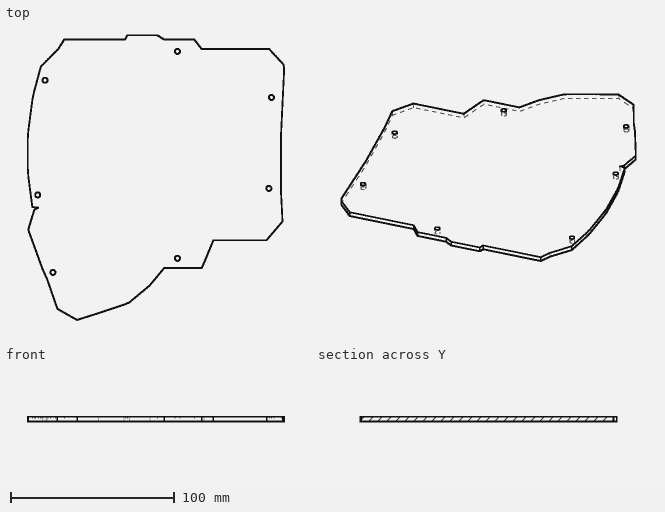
import cadquery as cq
import math

width = 156.62
height = 173.92
thickness = 3.0

row_length = 18.8
bridge_length = 4.6
row_angle = 7.5
top_row_length = 16.5
middle_row_bottom = 92.2

main_top = 171.3
right_top = 165.5
right_bottom = 48.7
main_bottom = 31.7

block_left = 83.3
block_right = 106.2

tab_left = 60.8
tab_right = 79.1
tab_left_foot = 59.4

waist_x = 154.7
waist_bottom = 78.0
waist_top = 113.2

hole_diameter = 3.0
block_hole_x = 91.4
hole_positions = [
    (block_hole_x, 164.0),
    (block_hole_x, 37.7),
    (10.6, 146.4),
    (148.8, 135.9),
    (147.2, 80.4),
    (6.1, 76.4),
    (15.4, 29.1),
]


def step(point, length, lean):
    """Point reached by moving a length away from point, leaning from +Y toward +X."""
    angle = math.radians(lean)
    return (point[0] + length * math.sin(angle), point[1] + length * math.cos(angle))


def fanned_side():
    """Corners of the fanned left side, from the notch above the thumb lobe up to the top left."""
    middle_bottom = (0, middle_row_bottom)
    bridge_bottom = step(middle_bottom, -bridge_length, -row_angle / 2)
    points = [step(bridge_bottom, -row_length, -row_angle), bridge_bottom, middle_bottom]
    for row, length in enumerate([row_length, row_length, top_row_length]):
        lean = row * row_angle
        if row > 0:
            points.append(step(points[-1], bridge_length, lean - row_angle / 2))
        points.append(step(points[-1], length, lean))
    return points


def top_side():
    """Corners of the top edge, from the left shoulder to the right-hand step."""
    return [
        (18.5, 165.4),
        (22.3, main_top),
        (tab_left_foot, main_top),
        (tab_left, height),
        (tab_right, height),
        (block_left, main_top),
        (101.7, main_top),
        (block_right, right_top),
    ]


def right_side():
    """Corners of the right-hand section, going down around its waist."""
    return [
        (147.4, right_top),
        (156.2, 156.0),
        (width, 153.2),
        (waist_x, waist_top),
        (waist_x, waist_bottom),
        (155.6, 60.2),
        (145.8, right_bottom),
        (113.4, right_bottom),
    ]


def thumb_side():
    """Corners of the middle block and thumb lobe, clockwise to the notch at the left side."""
    return [
        (107.6, 34.7),
        (block_right, main_bottom),
        (block_left, main_bottom),
        (74.4, 21.0),
        (62.0, 10.7),
        (58.7, 9.3),
        (43.0, 4.1),
        (30.1, 0),
        (18.1, 6.8),
        (11.7, 25.2),
        (11.0, 26.7),
        (8.9, 31.4),
        (0.3, 55.0),
        (0.7, 56.6),
        (4.0, 67.5),
        (6.3, 68.6),
    ]


def plate():
    outline = fanned_side() + top_side() + right_side() + thumb_side()
    return cq.Workplane("XY").polyline(outline).close().extrude(thickness)


def screw_holes():
    return cq.Workplane("XY").pushPoints(hole_positions).circle(hole_diameter / 2).extrude(thickness)


result = plate().cut(screw_holes())